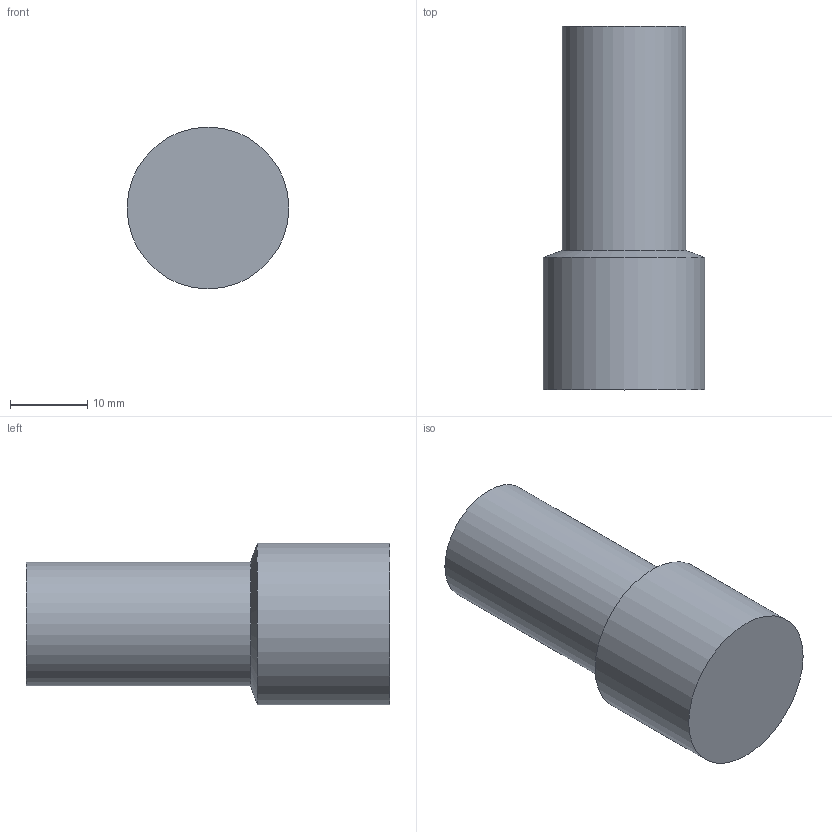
import cadquery as cq
import math

head_diameter = 20.9
shank_diameter = 16.0
shank_length = 29.0
total_length = 47.0
shoulder_angle = 20.0

head_radius = head_diameter / 2
shank_radius = shank_diameter / 2
shank_start = total_length - shank_length
shoulder_rise = (head_radius - shank_radius) * math.tan(math.radians(shoulder_angle))
head_length = shank_start - shoulder_rise

half_profile = (
    cq.Workplane("XY")
    .moveTo(0, 0)
    .lineTo(head_radius, 0)
    .lineTo(head_radius, head_length)
    .lineTo(shank_radius, shank_start)
    .lineTo(shank_radius, total_length)
    .lineTo(0, total_length)
    .close()
)

result = half_profile.revolve(360, (0, 0, 0), (0, 1, 0))